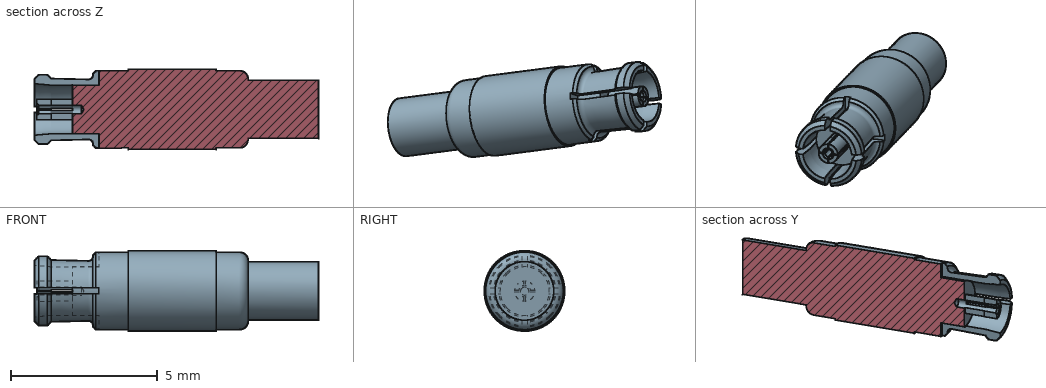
import cadquery as cq
import math

total_length = 9.7
lip_radius = 1.19
lip_chamfer = 0.15
lip_back = 0.45
neck_front = 0.57
neck_front_radius = 1.063
neck_rear_radius = 1.033
shoulder_face = 2.0
neck_fillet = 0.15
shoulder_chamfer = 0.1
body_radius = 1.325
sleeve_front = 3.2
sleeve_rear = 6.2
sleeve_diameter = 2.75
sleeve_radius = sleeve_diameter / 2
body_rear = 7.3
body_rear_fillet = 0.3
tail_radius = 1.0

cavity_mouth_radius = 0.885
cavity_radius = 0.835
cavity_taper_end = neck_front
cavity_depth = 1.3
finger_slot_width = 0.2
finger_slot_depth = 2.2

contact_radius = 0.345
contact_front = 0.09
bore_radius = 0.14
bore_chamfer = 0.06
bore_end = 1.6
bore_tip_angle = 118
contact_slot_step = neck_front
contact_front_slot_width = 0.04
contact_rear_slot_width = 0.07


def revolve_about_x(profile):
    """Solid of revolution about the X axis from an open XY profile."""
    return profile.close().revolve(360, (0, 0, 0), (1, 0, 0))


def make_body():
    """Outer turned shape, solid through to the rear face."""
    sine_45 = math.sin(math.radians(45))
    neck_rear = shoulder_face - neck_fillet
    neck_fillet_middle = (
        neck_rear + neck_fillet * sine_45,
        neck_rear_radius + neck_fillet * (1 - sine_45),
    )
    rear_fillet_middle = (
        body_rear - body_rear_fillet * (1 - sine_45),
        body_radius - body_rear_fillet * (1 - sine_45),
    )
    profile = (
        cq.Workplane("XY")
        .lineTo(0, lip_radius - lip_chamfer)
        .lineTo(lip_chamfer, lip_radius)
        .lineTo(lip_back, lip_radius)
        .lineTo(neck_front, neck_front_radius)
        .lineTo(neck_rear, neck_rear_radius)
        .threePointArc(neck_fillet_middle, (shoulder_face, neck_rear_radius + neck_fillet))
        .lineTo(shoulder_face, body_radius - shoulder_chamfer)
        .lineTo(shoulder_face + shoulder_chamfer, body_radius)
        .lineTo(sleeve_front, body_radius)
        .lineTo(sleeve_front, sleeve_radius)
        .lineTo(sleeve_rear, sleeve_radius)
        .lineTo(sleeve_rear, body_radius)
        .lineTo(body_rear - body_rear_fillet, body_radius)
        .threePointArc(rear_fillet_middle, (body_rear, body_radius - body_rear_fillet))
        .lineTo(body_rear, tail_radius)
        .lineTo(total_length, tail_radius)
        .lineTo(total_length, 0)
    )
    return revolve_about_x(profile)


def make_cavity():
    """Socket with a tapered mouth running into a straight bore."""
    profile = (
        cq.Workplane("XY")
        .lineTo(0, cavity_mouth_radius)
        .lineTo(cavity_taper_end, cavity_radius)
        .lineTo(cavity_depth, cavity_radius)
        .lineTo(cavity_depth, 0)
    )
    return revolve_about_x(profile)


def make_cross_slots(width, start, end, span):
    """Two crossed slabs along X, in the XY and XZ planes."""
    length = end - start
    middle = (start + end) / 2
    flat = cq.Workplane("XY").box(length, span, width).translate((middle, 0, 0))
    upright = cq.Workplane("XY").box(length, width, span).translate((middle, 0, 0))
    return flat.union(upright)


def make_finger_slots():
    """Wall slots; the core inside the cavity radius stays whole."""
    slots = make_cross_slots(finger_slot_width, 0, finger_slot_depth, sleeve_diameter)
    core = cq.Workplane("YZ").circle(cavity_radius).extrude(finger_slot_depth)
    return slots.cut(core)


def make_contact():
    """Solid round contact reaching back to the cavity floor."""
    front_plane = cq.Workplane("YZ", origin=(contact_front, 0, 0))
    return front_plane.circle(contact_radius).extrude(cavity_depth - contact_front)


def make_contact_bore():
    """Blind drilled hole with a chamfered mouth and a conical tip."""
    tip_length = bore_radius / math.tan(math.radians(bore_tip_angle / 2))
    profile = (
        cq.Workplane("XY")
        .moveTo(contact_front, 0)
        .lineTo(contact_front, bore_radius + bore_chamfer)
        .lineTo(contact_front + bore_chamfer, bore_radius)
        .lineTo(bore_end, bore_radius)
        .lineTo(bore_end + tip_length, 0)
    )
    return revolve_about_x(profile)


def make_contact_slots():
    """Crossed slots splitting the contact into four, narrower near its tip."""
    span = 2 * contact_radius
    front = make_cross_slots(contact_front_slot_width, contact_front, contact_slot_step, span)
    rear = make_cross_slots(contact_rear_slot_width, contact_slot_step, cavity_depth, span)
    return front.union(rear)


socket = make_body().cut(make_cavity()).cut(make_finger_slots())
result = socket.union(make_contact()).cut(make_contact_bore()).cut(make_contact_slots())